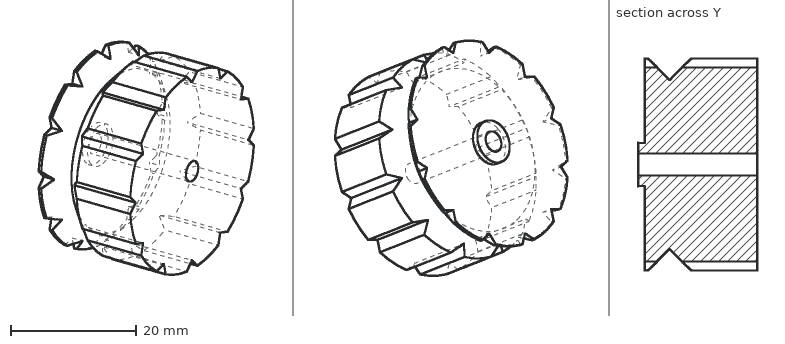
import cadquery as cq
import math

outer_span = 33.88
overall_length = 19.0
hub_length = 1.0
hub_diameter = 7.0
bore_diameter = 3.4
rim_width = 0.5
groove_depth = 3.5
notch_count = 12
notch_half_width = 1.45

shoulder_height = outer_span / 2
wheel_radius = math.hypot(shoulder_height, notch_half_width)
notch_root_radius = shoulder_height - notch_half_width

wheel_length = overall_length - hub_length
groove_start = rim_width
groove_bottom = groove_start + groove_depth
groove_end = groove_bottom + groove_depth


def wheel_body():
    """Revolved wheel with a V groove around its rim and a small hub on the front face."""
    hub_radius = hub_diameter / 2
    half_section = (
        cq.Workplane("XY")
        .moveTo(-hub_length, 0)
        .lineTo(-hub_length, hub_radius)
        .lineTo(0, hub_radius)
        .lineTo(0, wheel_radius)
        .lineTo(groove_start, wheel_radius)
        .lineTo(groove_bottom, wheel_radius - groove_depth)
        .lineTo(groove_end, wheel_radius)
        .lineTo(wheel_length, wheel_radius)
        .lineTo(wheel_length, 0)
        .close()
    )
    return half_section.revolve(360, (0, 0, 0), (1, 0, 0))


def rim_notch(angle):
    """90 degree V prism running the full wheel width, turned to the given angle about X."""
    overshoot = 2 * notch_half_width
    mouth_radius = notch_root_radius + overshoot
    notch = (
        cq.Workplane("YZ")
        .polyline([
            (0, notch_root_radius),
            (overshoot, mouth_radius),
            (-overshoot, mouth_radius),
        ])
        .close()
        .extrude(wheel_length)
    )
    return notch.rotate((0, 0, 0), (1, 0, 0), angle)


def bore():
    """Through hole along the wheel axis."""
    return (
        cq.Workplane("YZ", origin=(-hub_length, 0, 0))
        .circle(bore_diameter / 2)
        .extrude(overall_length)
    )


result = wheel_body().cut(bore())
for index in range(notch_count):
    result = result.cut(rim_notch(index * 360 / notch_count))